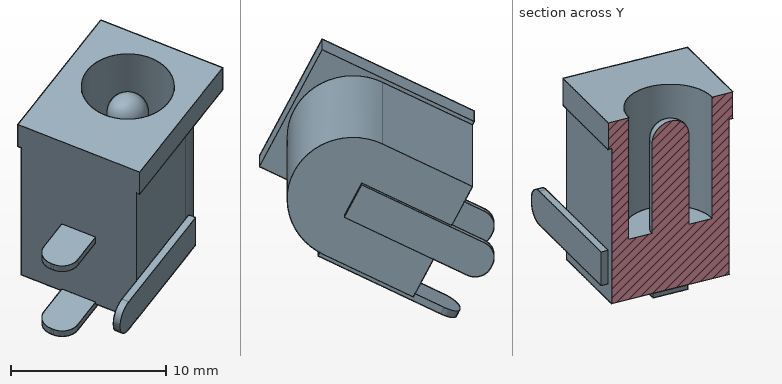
import cadquery as cq


flange_width = 9.0
flange_back = 4.5
front_reach = 6.5
flange_height = 2.0
housing_width = 8.5
total_height = 13.5
flange_base = total_height - flange_height

socket_diameter = 6.0
socket_depth = 9.0
pin_diameter = 2.7
pin_tip_depth = 1.0
pin_radius = pin_diameter / 2
socket_floor = total_height - socket_depth
pin_tip = total_height - pin_tip_depth

terminal_width = 2.5
terminal_thickness = 0.51
terminal_corner = 1.15
terminal_front = 10.0
lower_terminal_base = -0.33
upper_terminal_base = 5.55
side_terminal_height = 2.8


def make_terminal():
    """Flat tab from Y = 0 toward -Y with a rounded end, lying on Z = 0."""
    return (
        cq.Workplane("XY")
        .box(terminal_width, terminal_front, terminal_thickness, centered=(True, False, False))
        .translate((0, -terminal_front, 0))
        .edges("|Z and <Y")
        .fillet(terminal_corner)
    )


def make_shell():
    """Round-backed housing under a rectangular flange."""
    half_width = housing_width / 2
    housing = (
        cq.Workplane("XY")
        .moveTo(-half_width, -front_reach)
        .lineTo(half_width, -front_reach)
        .lineTo(half_width, 0)
        .threePointArc((0, half_width), (-half_width, 0))
        .close()
        .extrude(flange_base)
    )
    flange = (
        cq.Workplane("XY")
        .box(flange_width, front_reach + flange_back, flange_height, centered=(True, False, False))
        .translate((0, -front_reach, flange_base))
    )
    return housing.union(flange)


def make_center_pin():
    """Pin with a hemispherical tip, standing on the socket floor."""
    shoulder = pin_tip - pin_radius
    return (
        cq.Workplane("XZ")
        .moveTo(0, socket_floor)
        .lineTo(pin_radius, socket_floor)
        .lineTo(pin_radius, shoulder)
        .radiusArc((0, pin_tip), -pin_radius)
        .close()
        .revolve(360, (0, 0, 0), (0, 1, 0))
    )


def make_jack():
    """Housing with its socket, centre pin and two horizontal terminals."""
    socket = cq.Workplane("XY").workplane(offset=socket_floor).circle(socket_diameter / 2).extrude(socket_depth)
    lower_terminal = make_terminal().translate((0, 0, lower_terminal_base))
    upper_terminal = make_terminal().translate((0, 0, upper_terminal_base))
    return make_shell().union(lower_terminal).union(upper_terminal).cut(socket).union(make_center_pin())


def make_side_terminal():
    """Upright terminal, its inner face in line with the flange side."""
    return (
        make_terminal()
        .rotate((0, 0, 0), (0, 1, 0), 90)
        .translate((flange_width / 2, 0, side_terminal_height))
    )


jack = make_jack()
side_terminal = make_side_terminal()
result = cq.Compound.makeCompound([jack.val(), side_terminal.val()])